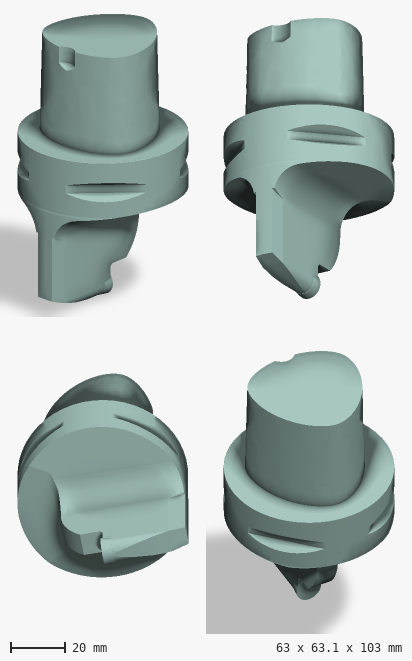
import cadquery as cq
import math


SHANK_HEIGHT = 38.3
SHANK_BASE_RADIUS = 22.1
SHANK_TOP_RADIUS = 21.2
LOBE_OFFSET = 1.5

NOTCH_RADIUS = 4.9
NOTCH_AXIS_Y = -22.4
NOTCH_DEPTH = 6.3
NOTCH_TIP_ANGLE = 106

FLANGE_RADIUS = 31.5
FLANGE_DEPTH = 21.9
FLANGE_RIM_Z = -21.0
FLANGE_CHAMFER = 0.1
UNDERSIDE_SLOPE_X = 0.145
UNDERSIDE_SLOPE_Y = 0.085
SLOT_COUNT = 4
SLOT_FIRST_ANGLE = 45
SLOT_FLOOR_DISTANCE = 27.8
SLOT_CENTRE_Z = -11.69
SLOT_FLOOR_WIDTH = 3.2
SLOT_WALL_ANGLE = 31

NECK_RADIUS = 31.6
NECK_FLARE_HEIGHT = 0.7
BLADE_HALF_WIDTH = 4.3
BLADE_FILLET = 10.9
BLADE_BACK_Y = 14.9
BACK_FILLET = 2.6
BACK_ARC_RADIUS = 22.2
BACK_ARC_START_Z = -35.5
LEDGE_Z = -51.8
SEAT_FACE_Y = -0.6
LEDGE_FILLET = 1.5
TAPER_START_Y = -25.2
TAPER_END_HALF_WIDTH = 3.5
TAPER_TOP_START_Z = -34.5
TAPER_TOP_END_Z = -32.1
HEEL_MIDDLE = (-15.9, -62.4)
HEEL_END_Z = -57.7

INSERT_RADIUS = 5.0
INSERT_THICKNESS = 4.0
INSERT_CLEARANCE = 7
OVERALL_LENGTH = 103
TIP_Z = SHANK_HEIGHT - OVERALL_LENGTH
INSERT_AXIS_Z = TIP_Z + INSERT_RADIUS

WORK_MARGIN = 10.3


def lobed_outline(mean_radius, z):
    """Closed three-lobed wire with one lobe pointing to +Y."""

    def point(turn):
        angle = 2 * math.pi * turn
        reach = mean_radius + LOBE_OFFSET * math.cos(3 * angle)
        sideways = -3 * LOBE_OFFSET * math.sin(3 * angle)
        return cq.Vector(
            -reach * math.sin(angle) - sideways * math.cos(angle),
            reach * math.cos(angle) - sideways * math.sin(angle),
            z,
        )

    segments = 72
    points = [point(i / segments) for i in range(segments)]
    return cq.Wire.assembleEdges([cq.Edge.makeSpline(points, periodic=True)])


def make_shank():
    base = lobed_outline(SHANK_BASE_RADIUS, 0)
    top = lobed_outline(SHANK_TOP_RADIUS, SHANK_HEIGHT)
    shank = cq.Workplane(cq.Solid.makeLoft([base, top], True))
    return shank.cut(make_notch())


def make_notch():
    """Vertical drilled pocket with a conical end."""
    rim_z = SHANK_HEIGHT - NOTCH_DEPTH
    tip_z = rim_z - NOTCH_RADIUS / math.tan(math.radians(NOTCH_TIP_ANGLE / 2))
    top_z = SHANK_HEIGHT + WORK_MARGIN
    return (
        cq.Workplane("XZ")
        .moveTo(0, tip_z)
        .lineTo(NOTCH_RADIUS, rim_z)
        .lineTo(NOTCH_RADIUS, top_z)
        .lineTo(0, top_z)
        .close()
        .revolve(360, (0, 0, 0), (0, 1, 0))
        .translate((0, NOTCH_AXIS_Y, 0))
    )


def make_gripper_slot(angle):
    """Flat-floored slot with flared walls, cut as a chord across the flange."""
    reach = FLANGE_RADIUS + WORK_MARGIN
    flare = (reach - SLOT_FLOOR_DISTANCE) * math.tan(math.radians(SLOT_WALL_ANGLE))
    half_floor = SLOT_FLOOR_WIDTH / 2
    return (
        cq.Workplane("XZ")
        .moveTo(SLOT_FLOOR_DISTANCE, SLOT_CENTRE_Z - half_floor)
        .lineTo(SLOT_FLOOR_DISTANCE, SLOT_CENTRE_Z + half_floor)
        .lineTo(reach, SLOT_CENTRE_Z + half_floor + flare)
        .lineTo(reach, SLOT_CENTRE_Z - half_floor - flare)
        .close()
        .extrude(FLANGE_RADIUS, both=True)
        .rotate((0, 0, 0), (0, 0, 1), angle)
    )


def make_flange_and_neck():
    """Flange disc over the slightly larger cylinder that bounds the blade."""
    flange = (
        cq.Workplane("XY")
        .circle(FLANGE_RADIUS)
        .extrude(-FLANGE_DEPTH)
        .faces(">Z")
        .edges()
        .chamfer(FLANGE_CHAMFER)
    )
    neck = (
        cq.Workplane("XZ")
        .moveTo(0, -FLANGE_DEPTH)
        .lineTo(FLANGE_RADIUS, -FLANGE_DEPTH)
        .lineTo(NECK_RADIUS, -FLANGE_DEPTH - NECK_FLARE_HEIGHT)
        .lineTo(NECK_RADIUS, TIP_Z)
        .lineTo(0, TIP_Z)
        .close()
        .revolve(360, (0, 0, 0), (0, 1, 0))
    )
    return flange.union(neck)


def make_front_envelope():
    """Width profile: sloped underside blending into a round-ended blade."""
    reach = FLANGE_RADIUS + WORK_MARGIN
    outer_z = FLANGE_RIM_Z + WORK_MARGIN * UNDERSIDE_SLOPE_X
    root_z = outer_z - (reach - BLADE_HALF_WIDTH) * UNDERSIDE_SLOPE_X
    envelope = (
        cq.Workplane("XZ")
        .moveTo(-reach, 0)
        .lineTo(-reach, outer_z)
        .lineTo(-BLADE_HALF_WIDTH, root_z)
        .lineTo(-BLADE_HALF_WIDTH, INSERT_AXIS_Z)
        .threePointArc(
            (0, INSERT_AXIS_Z - BLADE_HALF_WIDTH), (BLADE_HALF_WIDTH, INSERT_AXIS_Z)
        )
        .lineTo(BLADE_HALF_WIDTH, root_z)
        .lineTo(reach, outer_z)
        .lineTo(reach, 0)
        .close()
        .extrude(reach, both=True)
    )
    root_edges = cq.selectors.BoxSelector(
        (-BLADE_HALF_WIDTH - 1, -1, root_z - 1), (BLADE_HALF_WIDTH + 1, 1, root_z + 1)
    )
    return envelope.edges(root_edges).fillet(BLADE_FILLET)


def make_side_envelope():
    """Length profile: curved back, insert ledge and curved heel."""
    reach = FLANGE_RADIUS + WORK_MARGIN
    outer_z = -FLANGE_DEPTH + WORK_MARGIN * UNDERSIDE_SLOPE_Y
    root_z = outer_z - (reach - BLADE_BACK_Y) * UNDERSIDE_SLOPE_Y

    arc_angle = math.asin((BACK_ARC_START_Z - LEDGE_Z) / BACK_ARC_RADIUS)
    arc_centre_y = BLADE_BACK_Y - BACK_ARC_RADIUS

    def back_arc_point(angle):
        return (
            arc_centre_y + BACK_ARC_RADIUS * math.cos(angle),
            BACK_ARC_START_Z - BACK_ARC_RADIUS * math.sin(angle),
        )

    heel_start = (-INSERT_THICKNESS, INSERT_AXIS_Z - BLADE_HALF_WIDTH)
    envelope = (
        cq.Workplane("YZ")
        .moveTo(reach, 0)
        .lineTo(reach, outer_z)
        .lineTo(BLADE_BACK_Y, root_z)
        .lineTo(BLADE_BACK_Y, BACK_ARC_START_Z)
        .threePointArc(back_arc_point(arc_angle / 2), back_arc_point(arc_angle))
        .lineTo(SEAT_FACE_Y, LEDGE_Z)
        .lineTo(SEAT_FACE_Y, heel_start[1])
        .lineTo(*heel_start)
        .threePointArc(HEEL_MIDDLE, (-NECK_RADIUS, HEEL_END_Z))
        .lineTo(-reach, HEEL_END_Z)
        .lineTo(-reach, 0)
        .close()
        .extrude(reach, both=True)
    )
    root_edge = cq.selectors.NearestToPointSelector((0, BLADE_BACK_Y, root_z))
    ledge_edge = cq.selectors.NearestToPointSelector((0, SEAT_FACE_Y, LEDGE_Z))
    return (
        envelope.edges(root_edge).fillet(BACK_FILLET).edges(ledge_edge).fillet(LEDGE_FILLET)
    )


def make_taper_cut(side):
    """Wedge that narrows one side of the blade toward -Y, with a rising ceiling."""
    taper_length = NECK_RADIUS + TAPER_START_Y
    side_slope = (BLADE_HALF_WIDTH - TAPER_END_HALF_WIDTH) / taper_length
    top_slope = (TAPER_TOP_END_Z - TAPER_TOP_START_Z) / taper_length
    cut_length = taper_length + WORK_MARGIN
    end_y = TAPER_START_Y - cut_length
    outer_x = BLADE_HALF_WIDTH + WORK_MARGIN
    ceiling_end_z = TAPER_TOP_START_Z + top_slope * cut_length
    wedge = (
        cq.Workplane("XY")
        .workplane(offset=TIP_Z)
        .moveTo(side * BLADE_HALF_WIDTH, TAPER_START_Y)
        .lineTo(side * (BLADE_HALF_WIDTH - side_slope * cut_length), end_y)
        .lineTo(side * outer_x, end_y)
        .lineTo(side * outer_x, TAPER_START_Y)
        .close()
        .extrude(-TIP_Z)
    )
    below_ceiling = (
        cq.Workplane("YZ")
        .moveTo(TAPER_START_Y, TIP_Z)
        .lineTo(TAPER_START_Y, TAPER_TOP_START_Z)
        .lineTo(end_y, ceiling_end_z)
        .lineTo(end_y, TIP_Z)
        .close()
        .extrude(outer_x, both=True)
    )
    return wedge.intersect(below_ceiling)


def make_holder(insert):
    lower = make_flange_and_neck().intersect(make_front_envelope()).intersect(make_side_envelope())
    for side in (-1, 1):
        lower = lower.cut(make_taper_cut(side))
    for i in range(SLOT_COUNT):
        lower = lower.cut(make_gripper_slot(SLOT_FIRST_ANGLE + i * 360 / SLOT_COUNT))
    return lower.union(make_shank()).cut(insert)


def make_insert():
    """Round insert facing +Y, narrowing toward its seat."""
    seat_radius = INSERT_RADIUS - INSERT_THICKNESS * math.tan(math.radians(INSERT_CLEARANCE))
    return cq.Workplane(
        cq.Solid.makeCone(
            INSERT_RADIUS,
            seat_radius,
            INSERT_THICKNESS,
            cq.Vector(0, 0, INSERT_AXIS_Z),
            cq.Vector(0, -1, 0),
        )
    )


insert = make_insert()
holder = make_holder(insert)

result = cq.Compound.makeCompound([*holder.vals(), insert.val()])